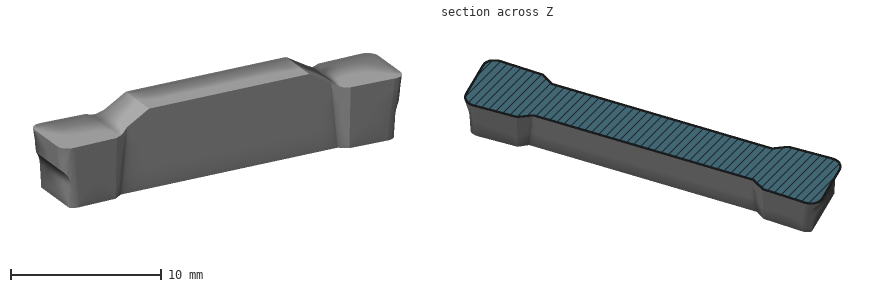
import cadquery as cq
import math

length = 26.1
height = 5.8
shank_width = 3.26

head_height = 4.5
tip_half_width = 2.4
rear_half_width = 2.27
rear_inset = 4.18
neck_inset = 5.27
corner_radius = 0.84
side_draft = 2.5
tip_draft = 6.0
neck_inset_draft = 5.7

undercut_inset = 0.73
undercut_top = 2.77
undercut_bottom = 1.67

ramp_start_inset = 4.78
ramp_end_inset = 6.97
ramp_blend_radius = 0.47

half_length = length / 2
shank_half_width = shank_width / 2


def draft_shift(z, angle):
    """Distance a drafted wall has moved inward at height z, relative to the head top."""
    return (head_height - z) * math.tan(math.radians(angle))


def head_outline(z):
    """Right half of the -Y head outline at height z, from the tip corner to the shank."""
    side_shift = draft_shift(z, side_draft)
    tip_y = -half_length + draft_shift(z, tip_draft)
    neck_y = -half_length + neck_inset - draft_shift(z, neck_inset_draft)
    return [
        (tip_half_width - side_shift, tip_y),
        (rear_half_width - side_shift, -half_length + rear_inset),
        (shank_half_width, neck_y),
    ]


def make_head():
    """Drafted head at the -Y end, full height, with rounded tip corners."""
    def section(z):
        right_side = head_outline(z)
        left_side = [(-x, y) for x, y in reversed(right_side)]
        points = [cq.Vector(x, y, z) for x, y in right_side + left_side]
        return cq.Wire.makePolygon(points, close=True)

    head = cq.Workplane(cq.Solid.makeLoft([section(0), section(height)], True))
    tip_middle = -half_length + draft_shift(height / 2, tip_draft)
    selection_margin = 0.25
    tip_corners = cq.selectors.BoxSelector(
        (-length, tip_middle - selection_margin, height / 2 - selection_margin),
        (length, tip_middle + selection_margin, height / 2 + selection_margin),
    )
    return head.edges(tip_corners).fillet(corner_radius)


def make_side_envelope():
    """Half of the side silhouette: undercut, head top and ramp, extruded across X."""
    undercut_y = -half_length + undercut_inset
    arc_depth = undercut_inset - draft_shift(undercut_top, tip_draft)
    arc_height = undercut_top - undercut_bottom
    arc_radius = (arc_depth**2 + arc_height**2) / (2 * arc_depth)
    arc_start = (undercut_y, undercut_bottom)
    arc_end = (undercut_y - arc_depth, undercut_top)

    ramp_start_y = -half_length + ramp_start_inset
    ramp_end_y = -half_length + ramp_end_inset
    ramp_angle = math.atan2(height - head_height, ramp_end_inset - ramp_start_inset)
    tangent = ramp_blend_radius * math.tan(ramp_angle / 2)
    blend_start = (ramp_start_y - tangent, head_height)
    blend_end = (
        ramp_start_y + tangent * math.cos(ramp_angle),
        head_height + tangent * math.sin(ramp_angle),
    )
    return (
        cq.Workplane("YZ")
        .moveTo(0, 0)
        .lineTo(undercut_y, 0)
        .lineTo(*arc_start)
        .radiusArc(arc_end, -arc_radius)
        .lineTo(-half_length, head_height)
        .lineTo(*blend_start)
        .radiusArc(blend_end, -ramp_blend_radius)
        .lineTo(ramp_end_y, height)
        .lineTo(0, height)
        .close()
        .extrude(tip_half_width * 2, both=True)
    )


shank_start = -half_length + rear_inset
shank = cq.Workplane("XY").box(shank_width, -shank_start, height, centered=(True, False, False))
shank = shank.translate((0, shank_start, 0))

half_insert = make_head().union(shank).intersect(make_side_envelope())
result = half_insert.union(half_insert.mirror("XZ")).clean()